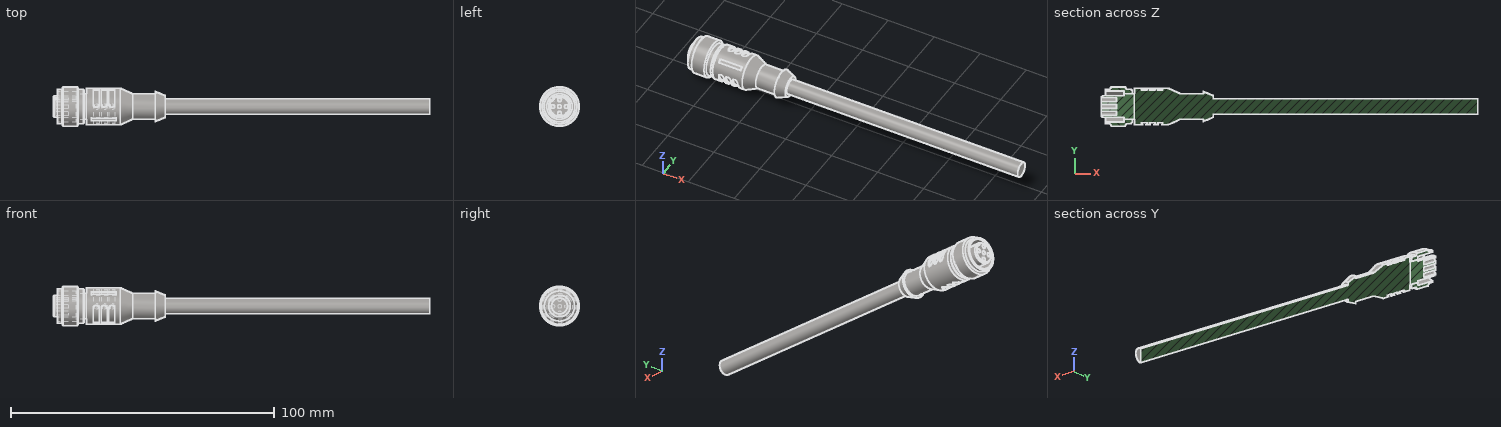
import cadquery as cq

TOTAL_LENGTH = 142.9

CARRIER_RADIUS = 4.1
CARRIER_TIP_RADIUS = 3.7
CARRIER_CHAMFER_LENGTH = 0.6
CARRIER_LENGTH = 8.6
CONTACT_HOLE_RADIUS = 0.7
CONTACT_HOLE_DEPTH = 5.7
CONTACT_CIRCLE_RADIUS = 2.6
CONTACT_COUNT = 4
CONTACT_START_ANGLE = 0.0
KEYWAY_WIDTH = 1.1
KEYWAY_DEPTH = 0.7
KEYWAY_ANGLE = 45.0
NECK_RADIUS = 4.9

GRIP_START = 12.6
GRIP_RADIUS = 7.0
TAPER_START = 25.5
TAPER_END = 30.2
SLEEVE_RADIUS = 4.9
TAIL_START = 38.7
TAIL_FRONT_RADIUS = 5.7
TAIL_END = 42.6
TAIL_END_RADIUS = 4.1
CABLE_RADIUS = 3.0

RECESS_CENTRE_X = 19.3
RECESS_PITCH = 3.0
RECESS_COUNT = 3
RECESS_WIDTH = 2.3
RECESS_LENGTH = 10.3
RECESS_DEPTH = 0.7
RECESS_ANGLES = (45.0, 225.0)

MARKER_CENTRE_X = 19.1
MARKER_LENGTH = 9.5
MARKER_WIDTH = 1.5
MARKER_DEPTH = 0.5
MARKER_ANGLE = 135.0

NUT_START = 1.6
NUT_END = 11.9
NUT_END_CHAMFER_LENGTH = 0.5
NUT_END_RADIUS = 5.9
NUT_COLLAR_RADIUS = 6.6
NUT_BAND_RADIUS = 7.5
NUT_BAND_START = 3.3
NUT_BAND_END = 9.6
NUT_BAND_CHAMFER = 0.5
NUT_BORE_RADIUS = 5.9


def revolve_about_x(profile):
    """Solid of revolution about the X axis from (x, radius) points."""
    return cq.Workplane("XY").polyline(profile).close().revolve(360, (0, 0, 0), (1, 0, 0))


def turned_about_x(shape, angle):
    """Turn a shape built on the +Y side round to `angle`, measured from +Y towards +Z."""
    return shape.rotate((0, 0, 0), (1, 0, 0), angle)


def grip_skin(depth):
    """Outer layer of the grip barrel, `depth` thick."""
    barrel_length = TAPER_START - GRIP_START
    return (
        cq.Workplane("YZ", origin=(GRIP_START, 0, 0))
        .circle(GRIP_RADIUS)
        .circle(GRIP_RADIUS - depth)
        .extrude(barrel_length)
    )


def contact_holes():
    """Ring of contact holes and the central one, open at the carrier face."""
    return (
        cq.Workplane("YZ")
        .polarArray(CONTACT_CIRCLE_RADIUS, CONTACT_START_ANGLE, 360, CONTACT_COUNT)
        .circle(CONTACT_HOLE_RADIUS)
        .extrude(CONTACT_HOLE_DEPTH)
        .union(cq.Workplane("YZ").circle(CONTACT_HOLE_RADIUS).extrude(CONTACT_HOLE_DEPTH))
    )


def keyway():
    """Polarising groove along the outside of the carrier."""
    groove = cq.Workplane("YZ").center(CARRIER_RADIUS, 0).rect(2 * KEYWAY_DEPTH, KEYWAY_WIDTH)
    return turned_about_x(groove.extrude(CARRIER_LENGTH), KEYWAY_ANGLE)


def finger_recesses():
    """Rounded slots with a floor that follows the barrel."""
    first_x = RECESS_CENTRE_X - RECESS_PITCH * (RECESS_COUNT - 1) / 2
    slots = (
        cq.Workplane("XZ")
        .pushPoints([(first_x + i * RECESS_PITCH, 0) for i in range(RECESS_COUNT)])
        .slot2D(RECESS_LENGTH, RECESS_WIDTH, 90)
        .extrude(-GRIP_RADIUS)
    )
    row = slots.intersect(grip_skin(RECESS_DEPTH))
    return [turned_about_x(row, angle) for angle in RECESS_ANGLES]


def marker_groove():
    """Shallow flat-floored groove along the barrel."""
    groove = cq.Workplane("XY").box(MARKER_LENGTH, 2 * MARKER_DEPTH, MARKER_WIDTH)
    return turned_about_x(groove.translate((MARKER_CENTRE_X, GRIP_RADIUS, 0)), MARKER_ANGLE)


def make_contact_carrier():
    """Nose with the contact holes, and the neck that the nut turns on."""
    carrier = revolve_about_x([
        (0, 0),
        (0, CARRIER_TIP_RADIUS),
        (CARRIER_CHAMFER_LENGTH, CARRIER_RADIUS),
        (CARRIER_LENGTH, CARRIER_RADIUS),
        (CARRIER_LENGTH, NECK_RADIUS),
        (GRIP_START, NECK_RADIUS),
        (GRIP_START, 0),
    ])
    return carrier.cut(contact_holes()).cut(keyway())


def make_grip():
    """Moulded grip and the cable that leaves its tail."""
    grip = revolve_about_x([
        (GRIP_START, 0),
        (GRIP_START, GRIP_RADIUS),
        (TAPER_START, GRIP_RADIUS),
        (TAPER_END, SLEEVE_RADIUS),
        (TAIL_START, SLEEVE_RADIUS),
        (TAIL_START, TAIL_FRONT_RADIUS),
        (TAIL_END, TAIL_END_RADIUS),
        (TAIL_END, CABLE_RADIUS),
        (TOTAL_LENGTH, CABLE_RADIUS),
        (TOTAL_LENGTH, 0),
    ])
    grip = grip.cut(marker_groove())
    for recess_row in finger_recesses():
        grip = grip.cut(recess_row)
    return grip


def make_coupling_nut():
    """Nut that turns on the neck, with an open bore around the carrier."""
    return revolve_about_x([
        (NUT_START, NUT_BORE_RADIUS),
        (NUT_START, NUT_COLLAR_RADIUS),
        (NUT_BAND_START, NUT_COLLAR_RADIUS),
        (NUT_BAND_START + NUT_BAND_CHAMFER, NUT_BAND_RADIUS),
        (NUT_BAND_END - NUT_BAND_CHAMFER, NUT_BAND_RADIUS),
        (NUT_BAND_END, NUT_COLLAR_RADIUS),
        (NUT_END - NUT_END_CHAMFER_LENGTH, NUT_COLLAR_RADIUS),
        (NUT_END, NUT_END_RADIUS),
        (NUT_END, NECK_RADIUS),
        (CARRIER_LENGTH, NECK_RADIUS),
        (CARRIER_LENGTH, NUT_BORE_RADIUS),
    ])


contact_carrier = make_contact_carrier()
coupling_nut = make_coupling_nut()
grip = make_grip()

result = cq.Compound.makeCompound([contact_carrier.val(), coupling_nut.val(), grip.val()])